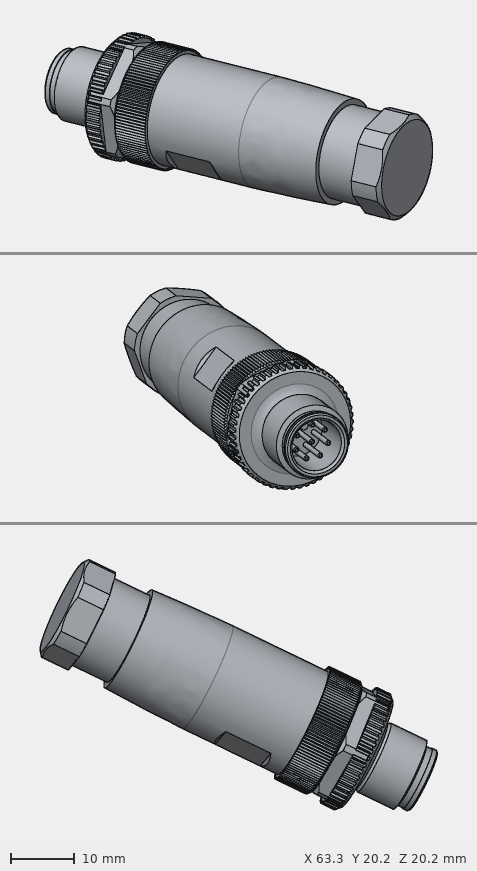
import cadquery as cq
import math


tip_r = 10.6 / 2
tip_groove_r = 10.3 / 2
tip_chamfer = 0.25
tip_groove_x = 1.0
barrel_x = 2.0
barrel_r = 12 / 2
barrel_cone_length = 0.3
barrel_end_x = 9.05
barrel_end_chamfer = 0.45
socket_r = 8.3 / 2
socket_mouth_r = 9.1 / 2
socket_depth = 8.85

pin_d = 0.8
pin_tip_chamfer = 0.2
pin_tip_x = 2.3
pin_circle_r = 2.8
outer_pins = 7
pin_pitch = 49.3
key_angle = 120
key_r = 0.65
key_centre_r = 3.7
key_front_x = 1.0
root_depth = 0.65

coupling_x = 9.95
coupling_r = 20.2 / 2
coupling_chamfer = 0.75
sweep_rim_r = 7.35
sweep_mid_x = 9.7
hex_x = 13.0
hex_end_x = 15.3
hex_end_chamfer = 0.65
hex_apothem = 8.9
hex_corner_r = 10.0
hex_corner_angle = 19.3
coarse_teeth = 52
coarse_phase = -0.4
coarse_root_r = 9.75
coarse_crest_share = 0.3
coarse_root_share = 0.4

knurl_x = 15.4
knurl_end_x = 21.15
knurl_r = 19.6 / 2
knurl_chamfer = 0.45
knurl_gap_r = 8.8
fine_teeth = 120
fine_root_r = 9.5

body_r = 18.0 / 2
taper_x = 37.85
taper_end_x = 51.7
taper_end_r = 8.55
taper_bulge = 0.05
neck_r = 15.2 / 2

recess_x = 23.8
recess_end_x = 32.7
recess_apothem = 8.5
recess_angle = -39

nut_x = 58.2
nut_end_x = 63.3
nut_r = 17.0 / 2
nut_apothem = 8.0
nut_corner_angle = 49.8
nut_chamfer_length = 0.6
nut_chamfer_depth = 0.75


def cylinder(x_start, x_end, radius):
    return cq.Workplane("YZ", origin=(x_start, 0, 0)).circle(radius).extrude(x_end - x_start)


def revolve_profile(profile):
    """Turn a closed (x, radius) outline about the X axis."""
    return profile.close().revolve(360, (0, 0, 0), (1, 0, 0))


def around_axis(angle, radius):
    """(y, z) position at an angle measured from -Y towards +Z."""
    turn = math.radians(angle)
    return -radius * math.cos(turn), radius * math.sin(turn)


def extrude_outline(x_start, x_end, points):
    return cq.Workplane("YZ", origin=(x_start, 0, 0)).polyline(points).close().extrude(x_end - x_start)


def hexagon(x_start, x_end, apothem, corner_angle):
    corner_r = apothem / math.cos(math.radians(30))
    corners = [around_axis(corner_angle + 60 * i, corner_r) for i in range(6)]
    return extrude_outline(x_start, x_end, corners)


def coarse_toothed_bar():
    """Teeth with flat crests and flat roots, joined by sloping flanks."""
    pitch = 360 / coarse_teeth
    crest_half = coarse_crest_share * pitch / 2
    root_half = (1 - coarse_root_share) * pitch / 2
    outline = []
    for i in range(coarse_teeth):
        middle = coarse_phase + i * pitch
        outline += [
            around_axis(middle - root_half, coarse_root_r),
            around_axis(middle - crest_half, coupling_r),
            around_axis(middle + crest_half, coupling_r),
            around_axis(middle + root_half, coarse_root_r),
        ]
    return extrude_outline(coupling_x, hex_x, outline)


def fine_toothed_bar():
    """Sharp V-shaped teeth."""
    pitch = 360 / fine_teeth
    outline = []
    for i in range(fine_teeth):
        outline.append(around_axis(i * pitch, knurl_r))
        outline.append(around_axis((i + 0.5) * pitch, fine_root_r))
    return extrude_outline(knurl_x, knurl_end_x, outline)


def make_plug():
    """Sleeve tip, barrel and the hollow sweep up to the coupling ring."""
    sweep_start_r = barrel_r - barrel_end_chamfer
    sweep_mid = (sweep_mid_x, (sweep_start_r + sweep_rim_r) / 2)
    profile = (
        cq.Workplane("XY")
        .lineTo(0, tip_r - tip_chamfer)
        .lineTo(tip_chamfer, tip_r)
        .lineTo(tip_groove_x, tip_r)
        .lineTo(tip_groove_x, tip_groove_r)
        .lineTo(barrel_x, tip_groove_r)
        .lineTo(barrel_x + barrel_cone_length, barrel_r)
        .lineTo(barrel_end_x - barrel_end_chamfer, barrel_r)
        .lineTo(barrel_end_x, sweep_start_r)
        .threePointArc(sweep_mid, (coupling_x, sweep_rim_r))
        .lineTo(hex_x, sweep_rim_r)
        .lineTo(hex_x, 0)
    )
    mouth_chamfer = socket_mouth_r - socket_r
    socket = (
        cq.Workplane("XY")
        .lineTo(0, socket_mouth_r)
        .lineTo(mouth_chamfer, socket_r)
        .lineTo(socket_depth, socket_r)
        .lineTo(socket_depth, 0)
    )
    return revolve_profile(profile).cut(revolve_profile(socket))


def make_pins():
    """One centre pin, seven pins around it and the key on the socket wall."""
    places = [(0, 0)]
    for i in range(outer_pins):
        middle_offset = i - (outer_pins - 1) / 2
        places.append(around_axis(key_angle + 180 + middle_offset * pin_pitch, pin_circle_r))
    pins = (
        cq.Workplane("YZ", origin=(pin_tip_x, 0, 0))
        .pushPoints(places)
        .circle(pin_d / 2)
        .extrude(socket_depth + root_depth - pin_tip_x)
        .faces("<X")
        .chamfer(pin_tip_chamfer)
    )
    key_y, key_z = around_axis(key_angle, key_centre_r)
    key = cylinder(key_front_x, socket_depth + root_depth, key_r).translate((0, key_y, key_z))
    return pins.union(key)


def make_coupling_ring():
    teeth_envelope = (
        cq.Workplane("XY")
        .moveTo(coupling_x, 0)
        .lineTo(coupling_x, coupling_r - coupling_chamfer)
        .lineTo(coupling_x + coupling_chamfer, coupling_r)
        .lineTo(hex_x, coupling_r)
        .lineTo(hex_x, 0)
    )
    hex_start_x = coupling_x + coupling_chamfer
    hex_envelope = (
        cq.Workplane("XY")
        .moveTo(hex_start_x, 0)
        .lineTo(hex_start_x, hex_corner_r)
        .lineTo(hex_end_x - hex_end_chamfer, hex_corner_r)
        .lineTo(hex_end_x, hex_corner_r - hex_end_chamfer)
        .lineTo(hex_end_x, 0)
    )
    teeth = coarse_toothed_bar().intersect(revolve_profile(teeth_envelope))
    bore = cylinder(coupling_x, hex_x, sweep_rim_r)
    grip = hexagon(hex_start_x, hex_end_x, hex_apothem, hex_corner_angle)
    return teeth.union(grip.intersect(revolve_profile(hex_envelope))).cut(bore)


def make_knurled_ring():
    envelope = (
        cq.Workplane("XY")
        .moveTo(knurl_x, 0)
        .lineTo(knurl_x, knurl_r - knurl_chamfer)
        .lineTo(knurl_x + knurl_chamfer, knurl_r)
        .lineTo(knurl_end_x, knurl_r)
        .lineTo(knurl_end_x, 0)
    )
    return fine_toothed_bar().intersect(revolve_profile(envelope))


def make_body():
    """Body cylinder with a slightly bulged taper and a thinner rear neck."""
    taper_mid = ((taper_x + taper_end_x) / 2, (body_r + taper_end_r) / 2 + taper_bulge)
    profile = (
        cq.Workplane("XY")
        .moveTo(hex_x, 0)
        .lineTo(hex_x, knurl_gap_r)
        .lineTo(knurl_x, knurl_gap_r)
        .lineTo(knurl_x, body_r)
        .lineTo(taper_x, body_r)
        .threePointArc(taper_mid, (taper_end_x, taper_end_r))
        .lineTo(taper_end_x, neck_r)
        .lineTo(nut_x, neck_r)
        .lineTo(nut_x, 0)
    )
    return revolve_profile(profile)


def make_spanner_recess(angle):
    """Flat-bottomed cutter with 45 degree ends."""
    depth = body_r - recess_apothem
    cutter = (
        cq.Workplane("XY")
        .moveTo(recess_x, -body_r)
        .lineTo(recess_x + depth, -recess_apothem)
        .lineTo(recess_end_x - depth, -recess_apothem)
        .lineTo(recess_end_x, -body_r)
        .close()
        .extrude(body_r, both=True)
    )
    return cutter.rotate((0, 0, 0), (1, 0, 0), -angle)


def make_nut():
    envelope = (
        cq.Workplane("XY")
        .moveTo(nut_x, 0)
        .lineTo(nut_x, nut_r)
        .lineTo(nut_end_x - nut_chamfer_length, nut_r)
        .lineTo(nut_end_x, nut_r - nut_chamfer_depth)
        .lineTo(nut_end_x, 0)
    )
    blank = hexagon(nut_x, nut_end_x, nut_apothem, nut_corner_angle)
    return blank.intersect(revolve_profile(envelope))


result = make_body().union(make_plug()).union(make_pins())
result = result.union(make_coupling_ring()).union(make_knurled_ring()).union(make_nut())
for side in (0, 180):
    result = result.cut(make_spanner_recess(recess_angle + side))